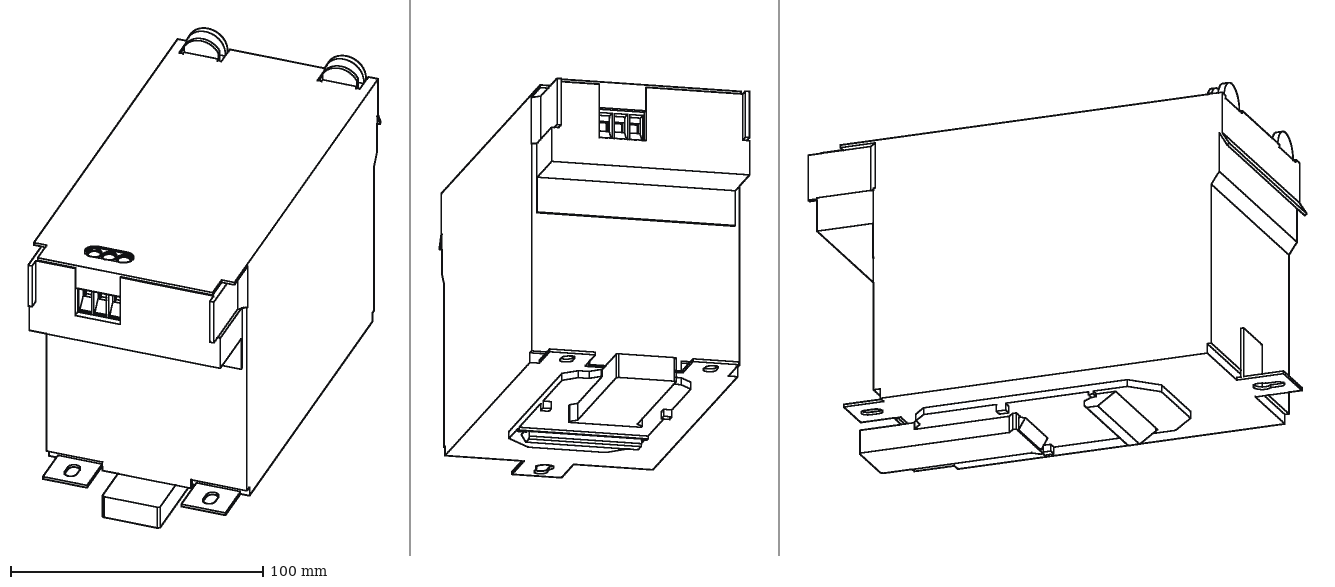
import cadquery as cq
import math

SHEET = 1.1

WIDTH = 85.0
HEIGHT = 109.8
SIDE = WIDTH / 2
DEPTH = 143.8
DEPTH_TOP = 148.5
OVERHANG_BOTTOM = 92.8
SLANT_TOP = 76.4
SLANT_BOTTOM = 71.5
NOTCH_HEIGHT = 4.0
NOTCH_FRONT = 2.9
NOTCH_REAR = 1.7
SKIRT_HALF = 18.7
SKIRT_THICK = 1.5

LID_BOTTOM = HEIGHT - SHEET
LID_FRONT = -14.1
TONGUE_FRONT = -24.3
TONGUE_HALF = 37.0

BOX_HALF = 40.5
BOX_FRONT = -24.8
BOX_BOTTOM = 75.5
BACKPLATE_BOTTOM = 61.1
WING_BOTTOM = 89.5
WING_FRONT = -29.0
WING_OUTER = 39.3
WING_INNER = 37.6
WING_BEND = 2.3
WING_START = 0.8

POLES = 3
POLE_PITCH = 6.3
TERMINAL_X = -11.5
RECESS_WIDTH = 19.1
RECESS_BOTTOM = 86.7
RECESS_TOP = 99.1
RECESS_DEPTH = 2.9
PORT_WIDTH = 5.3
PORT_BOTTOM = 87.3
PORT_TOP = 97.8
PORT_FLOOR_RIM = 1.1
PORT_ROOF_SLANT = 0.8
PORT_DEPTH = 4.8
CONTACT_DEPTH = 2.0
CONTACT_SIZE = 4.0
CONTACT_Z = 93.5
SCREW_Y = -11.8
SCREW_SLOT_LENGTH = 20.2
SCREW_SLOT_WIDTH = 8.0
SCREW_SLOT_DEPTH = 0.8
SCREW_HEAD_R = 3.0
SCREW_HEAD_DEPTH = 1.5
SCREW_CORE_R = 2.5
SCREW_DEPTH = 5.7

LUG_SPACING = 58.6
LUG_X = LUG_SPACING / 2
LUG_R = 8.4
LUG_REAR = 147.5
LUG_THICK = 2.7
TAB_REAR = 141.7
TAB_THICK = 1.7
TAB_HALF = 7.3
TAB_DROP = 1.5
RELIEF_HALF = 9.0
RELIEF_FRONT = 138.9

FOOT_HALF = 9.4
FOOT_FRONT = -14.1
FOOT_SLOT_Y = -5.7
FOOT_SLOT_LENGTH = 8.8
SLOT_WIDTH = 5.2
REAR_TAB_HALF = 10.1
REAR_TAB_END = 162.0
REAR_TAB_HEIGHT = 21.8
KEYHOLE_TOP = 158.3
KEYHOLE_Y = 149.0
KEYHOLE_R = 3.6

FLANGE_TIP_Y = 151.5
FLANGE_TIP_Z = 87.9

RAIL_THICK = 2.9
RAIL_HALF = 26.4
RAIL_REAR = 112.3
RAIL_REAR_TAPER = 10.5
RAIL_FRONT = 5.7
RAIL_STEP_Y = 9.7
RAIL_STEP_HALF = 21.0
RAIL_NOSE_HALF = 16.6
HOOK_HALF = 23.0
HOOK_HEEL_Y = 95.5
HOOK_SOLE_Y = 87.9
HOOK_BOTTOM = -8.0
HOOK_TIP_Y = 82.1
HOOK_TIP_TOP = -5.2
HOOK_TIP_CHAMFER = 1.0
HOOK_NECK_FRONT = 85.2
HOOK_NECK_REAR = 87.3
HOOK_NECK_BOTTOM = -4.0
SLIDER_BOTTOM = -9.7
SLIDER_WIDTH = 29.6
SLIDER_HALF = SLIDER_WIDTH / 2
SLIDER_FRONT_HALF = 12.2
SLIDER_CHAMFER_X = 1.0
SLIDER_CHAMFER_Y = 0.5
SLIDER_FRONT = -18.0
LATCH_FRONT = 46.0
LATCH_REAR = 50.0
LATCH_ROOT_TOP = -3.8
LATCH_ROOT_BOTTOM = -9.2
GUIDE_BOTTOM = -5.7
LATCH_TIP_Y = 53.0
LATCH_TIP_Z = -4.4


def block(x0, x1, y0, y1, z0, z1):
    """Box between two corners."""
    return cq.Workplane("XY").box(x1 - x0, y1 - y0, z1 - z0, centered=False).translate((x0, y0, z0))


def side_profile(points, half_width):
    """Outline of (y, z) points, extruded equally to both sides of the centre."""
    return cq.Workplane("YZ").polyline(points).close().extrude(half_width, both=True)


def plan_profile(points, z0, z1):
    """Outline of (x, y) points, extruded from z0 up to z1."""
    return cq.Workplane("XY").workplane(offset=z0).polyline(points).close().extrude(z1 - z0)


def symmetric_plan(right_points, z0, z1):
    """Outline given by its right half, from front to rear."""
    left_points = [(-x, y) for x, y in reversed(right_points)]
    return plan_profile(right_points + left_points, z0, z1)


def both_sides(shape):
    """The shape together with its mirror image on the other side of the centre."""
    return shape.union(shape.mirror("YZ"))


def housing():
    overhang_inner = DEPTH_TOP - SHEET
    body = side_profile(
        [
            (0, 0),
            (DEPTH, 0),
            (DEPTH, SLANT_BOTTOM),
            (overhang_inner, SLANT_TOP),
            (overhang_inner, OVERHANG_BOTTOM),
            (DEPTH_TOP, OVERHANG_BOTTOM),
            (DEPTH_TOP, HEIGHT),
            (0, HEIGHT),
        ],
        SIDE,
    )
    body = body.cut(block(-SIDE, SIDE, 0, NOTCH_FRONT, 0, NOTCH_HEIGHT))
    body = body.cut(block(-SIDE, SIDE, DEPTH - NOTCH_REAR, DEPTH, 0, NOTCH_HEIGHT))
    return body.union(block(-SKIRT_HALF, SKIRT_HALF, 0, SKIRT_THICK, 0, NOTCH_HEIGHT))


def lid_front():
    wide = block(-SIDE, SIDE, LID_FRONT, 0, LID_BOTTOM, HEIGHT)
    return wide.union(block(-TONGUE_HALF, TONGUE_HALF, TONGUE_FRONT, 0, LID_BOTTOM, HEIGHT))


def rear_flange():
    root_y = DEPTH_TOP
    run = FLANGE_TIP_Y - root_y
    drop = OVERHANG_BOTTOM - FLANGE_TIP_Z
    length = math.hypot(run, drop)
    inward = (-SHEET * drop / length, -SHEET * run / length)
    return side_profile(
        [
            (root_y, OVERHANG_BOTTOM),
            (FLANGE_TIP_Y, FLANGE_TIP_Z),
            (FLANGE_TIP_Y + inward[0], FLANGE_TIP_Z + inward[1]),
            (root_y - SHEET, OVERHANG_BOTTOM),
        ],
        SIDE,
    )


def connector_box():
    lower = block(-BOX_HALF, BOX_HALF, BOX_FRONT, 0, BOX_BOTTOM, WING_BOTTOM)
    upper = block(-WING_INNER, WING_INNER, BOX_FRONT, 0, WING_BOTTOM, LID_BOTTOM)
    backplate = block(-BOX_HALF, BOX_HALF, -SHEET, 0, BACKPLATE_BOTTOM, BOX_BOTTOM)
    return lower.union(upper).union(backplate)


def wing():
    """Side wing: bends inward from the housing wall, then runs straight forward."""
    return plan_profile(
        [
            (-SIDE, WING_START),
            (-WING_OUTER, -WING_BEND),
            (-WING_OUTER, WING_FRONT),
            (-WING_INNER, WING_FRONT),
            (-WING_INNER, WING_START),
        ],
        WING_BOTTOM,
        LID_BOTTOM,
    )


def wing_corner():
    """Housing corner that makes room for the bend of the wing."""
    return block(-SIDE, -WING_OUTER, 0, WING_START, WING_BOTTOM, LID_BOTTOM)


def pole_positions():
    return [TERMINAL_X + (i - (POLES - 1) / 2) * POLE_PITCH for i in range(POLES)]


def wire_port(mouth):
    """Port whose floor and roof close in toward a square contact hole."""
    half = CONTACT_SIZE / 2
    throat = mouth + PORT_DEPTH
    funnel = side_profile(
        [
            (mouth, PORT_BOTTOM),
            (mouth + PORT_FLOOR_RIM, PORT_BOTTOM),
            (throat, CONTACT_Z - half),
            (throat, CONTACT_Z + half),
            (throat - PORT_ROOF_SLANT, PORT_TOP),
            (mouth, PORT_TOP),
        ],
        PORT_WIDTH / 2,
    )
    contact = block(-half, half, throat, throat + CONTACT_DEPTH, CONTACT_Z - half, CONTACT_Z + half)
    return funnel.union(contact)


def terminal_cuts():
    """Recess in the connector box with one wire port per pole."""
    left = TERMINAL_X - RECESS_WIDTH / 2
    right = TERMINAL_X + RECESS_WIDTH / 2
    recess_back = BOX_FRONT + RECESS_DEPTH
    cuts = block(left, right, BOX_FRONT, TONGUE_FRONT, RECESS_BOTTOM, LID_BOTTOM)
    cuts = cuts.union(block(left, right, BOX_FRONT, recess_back, RECESS_BOTTOM, RECESS_TOP))
    for x in pole_positions():
        cuts = cuts.union(wire_port(recess_back).translate((x, 0, 0)))
    return cuts


def screw_cuts():
    """Rounded opening in the lid with a stepped screw hole per pole."""
    top = cq.Workplane("XY", origin=(0, 0, HEIGHT))
    opening = top.center(TERMINAL_X, SCREW_Y).slot2D(SCREW_SLOT_LENGTH, SCREW_SLOT_WIDTH)
    cuts = opening.extrude(-SCREW_SLOT_DEPTH)
    centres = [(x, SCREW_Y) for x in pole_positions()]
    cuts = cuts.union(top.pushPoints(centres).circle(SCREW_HEAD_R).extrude(-SCREW_HEAD_DEPTH))
    return cuts.union(top.pushPoints(centres).circle(SCREW_CORE_R).extrude(-SCREW_DEPTH))


def upright_disc(z, rear, thickness):
    """Disc of the lug radius that stands across the lid."""
    return cq.Workplane("XZ", origin=(LUG_X, rear, z)).circle(LUG_R).extrude(thickness)


def lug():
    """Rounded lug with a smaller bent-up tab in front of it."""
    tab_front = TAB_REAR - TAB_THICK
    top = HEIGHT + LUG_R
    left, right = LUG_X - TAB_HALF, LUG_X + TAB_HALF
    above_floor = block(LUG_X - LUG_R, LUG_X + LUG_R, tab_front, LUG_REAR, LID_BOTTOM, top)
    tab = upright_disc(HEIGHT - TAB_DROP, TAB_REAR, TAB_THICK)
    tab = tab.intersect(block(left, right, tab_front, TAB_REAR, LID_BOTTOM, top))
    return upright_disc(HEIGHT, LUG_REAR, LUG_THICK).intersect(above_floor).union(tab)


def lug_relief():
    """Opening in the lid around the lug, with a slit on either side of the tab root."""
    opening = block(LUG_X - RELIEF_HALF, LUG_X + RELIEF_HALF, RELIEF_FRONT, DEPTH_TOP, LID_BOTTOM, HEIGHT)
    root = block(LUG_X - TAB_HALF, LUG_X + TAB_HALF, RELIEF_FRONT, TAB_REAR, LID_BOTTOM, HEIGHT)
    return opening.cut(root)


def front_foot():
    foot = block(LUG_X - FOOT_HALF, LUG_X + FOOT_HALF, FOOT_FRONT, NOTCH_FRONT, 0, SHEET)
    slot = (
        cq.Workplane("XY")
        .center(LUG_X, FOOT_SLOT_Y)
        .slot2D(FOOT_SLOT_LENGTH, SLOT_WIDTH, 90)
        .extrude(SHEET)
    )
    return foot.cut(slot)


def rear_tab():
    """Angled rear tab: a wall plate and a foot with a keyhole."""
    plate_rear = DEPTH + SHEET
    inner = DEPTH - NOTCH_REAR
    plate = block(-REAR_TAB_HALF, REAR_TAB_HALF, DEPTH, plate_rear, 0, REAR_TAB_HEIGHT)
    foot = block(-REAR_TAB_HALF, REAR_TAB_HALF, inner, REAR_TAB_END, 0, SHEET)
    slot_r = SLOT_WIDTH / 2
    slot_end = KEYHOLE_TOP - slot_r
    keyhole = block(-slot_r, slot_r, KEYHOLE_Y, slot_end, 0, SHEET)
    keyhole = keyhole.union(cq.Workplane("XY").center(0, slot_end).circle(slot_r).extrude(SHEET))
    keyhole = keyhole.union(cq.Workplane("XY").center(0, KEYHOLE_Y).circle(KEYHOLE_R).extrude(SHEET))
    return plate.union(foot.cut(keyhole))


def rail_plate():
    nose_half = RAIL_NOSE_HALF - (RAIL_STEP_Y - RAIL_FRONT)
    return symmetric_plan(
        [
            (nose_half, RAIL_FRONT),
            (RAIL_NOSE_HALF, RAIL_STEP_Y),
            (RAIL_STEP_HALF, RAIL_STEP_Y),
            (RAIL_HALF, RAIL_STEP_Y + RAIL_HALF - RAIL_STEP_HALF),
            (RAIL_HALF, RAIL_REAR - RAIL_REAR_TAPER),
            (RAIL_HALF - RAIL_REAR_TAPER, RAIL_REAR),
        ],
        -RAIL_THICK,
        0,
    )


def rail_hook():
    """Hook that holds the rail, hanging from a neck as wide as the rail plate."""
    neck = block(-RAIL_HALF, RAIL_HALF, HOOK_NECK_FRONT, HOOK_NECK_REAR, HOOK_NECK_BOTTOM, 0)
    hook = side_profile(
        [
            (HOOK_HEEL_Y, -RAIL_THICK),
            (HOOK_SOLE_Y, HOOK_BOTTOM),
            (HOOK_TIP_Y + HOOK_TIP_CHAMFER, HOOK_BOTTOM),
            (HOOK_TIP_Y, HOOK_BOTTOM + HOOK_TIP_CHAMFER),
            (HOOK_TIP_Y, HOOK_TIP_TOP),
            (HOOK_NECK_FRONT, HOOK_NECK_BOTTOM),
            (HOOK_NECK_REAR, HOOK_NECK_BOTTOM),
            (HOOK_NECK_REAR, -RAIL_THICK),
        ],
        HOOK_HALF,
    )
    return hook.union(neck)


def slider():
    """Sliding latch: long grip that widens at its rear end, with a pointed nose behind it."""
    tip_half = SLIDER_FRONT_HALF - SLIDER_CHAMFER_X
    grip = symmetric_plan(
        [
            (tip_half, SLIDER_FRONT),
            (SLIDER_FRONT_HALF, SLIDER_FRONT + SLIDER_CHAMFER_Y),
            (SLIDER_FRONT_HALF, LATCH_FRONT),
            (SLIDER_HALF, LATCH_FRONT + SLIDER_HALF - SLIDER_FRONT_HALF),
            (SLIDER_HALF, LATCH_REAR),
        ],
        SLIDER_BOTTOM,
        0,
    )
    nose = side_profile(
        [(LATCH_REAR, LATCH_ROOT_BOTTOM), (LATCH_TIP_Y, LATCH_TIP_Z), (LATCH_REAR, LATCH_ROOT_TOP)],
        SLIDER_FRONT_HALF,
    )
    return grip.union(nose)


def slider_guide():
    """Small block under the edge of the rail plate, beside the latch."""
    return block(HOOK_HALF, RAIL_HALF, LATCH_FRONT, LATCH_REAR, GUIDE_BOTTOM, 0)


result = housing().cut(both_sides(wing_corner()))
result = result.union(lid_front()).union(connector_box()).union(both_sides(wing())).union(rear_flange())
result = result.cut(terminal_cuts()).cut(screw_cuts())
result = result.cut(both_sides(lug_relief())).union(both_sides(lug()))
result = result.union(both_sides(front_foot())).union(rear_tab())
result = result.union(rail_plate()).union(rail_hook()).union(slider())
result = result.union(both_sides(slider_guide()))